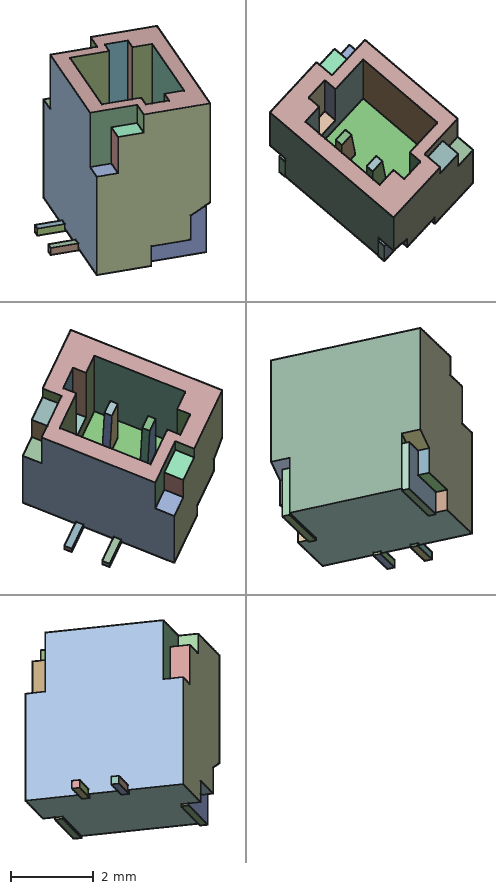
import cadquery as cq

SIDES = (-1, 1)

housing_width = 4.0
housing_depth = 2.9
housing_bottom = 0.07
housing_top = 4.32
housing_height = housing_top - housing_bottom

cavity_width = 2.4
cavity_front = 0.4
cavity_back = 2.5
cavity_depth = 3.25
cavity_floor = housing_top - cavity_depth
keyway_span = 3.095
keyway_front = 1.41
keyway_length = 0.59
keyway_depth = 2.59

notch_width = 0.5
upper_step_length = 1.2
upper_step_depth = 0.505
lower_step_length = 0.545
lower_step_depth = 1.51

tab_thickness = 0.2
tab_inset = 0.3
tab_bottom = 0.017
tab_top = 1.287
tab_upright_length = 0.5
tab_base_length = 1.505
tab_base_top = 0.618
recess_depth = tab_inset + tab_thickness
recess_slope_rise = 0.275

contact_pitch = 1.0
contact_width = 0.2
post_top = 3.065
post_back = 2.08
post_base_length = 0.492
post_tip_length = 0.35
foot_height = 0.2
foot_reach = 0.7
foot_embed = 0.11


def box(x_center, width, front, length, bottom, height):
    """Box centred on x_center that starts at the given front and bottom."""
    block = cq.Workplane("XY").box(width, length, height, centered=(True, False, False))
    return block.translate((x_center, front, bottom))


def side_plate(points, x_center, thickness):
    """Plate with a (Y, Z) outline, centred on x_center."""
    plate = cq.Workplane("YZ").polyline(points).close().extrude(thickness / 2, both=True)
    return plate.translate((x_center, 0, 0))


def tab_outline(bottom):
    """L-shaped outline from the tab's inner top corner round to its base front end."""
    upright_front = housing_depth - tab_upright_length
    base_front = housing_depth - tab_base_length
    return [
        (upright_front, tab_top),
        (upright_front, tab_base_top),
        (base_front, tab_base_top),
        (base_front, bottom),
        (housing_depth, bottom),
    ]


def make_tab(side):
    x_center = side * (housing_width / 2 - tab_inset - tab_thickness / 2)
    return side_plate(tab_outline(tab_bottom) + [(housing_depth, tab_top)], x_center, tab_thickness)


def make_tab_recess(side):
    """Side recess that holds a tab and slopes upward above it to the back face."""
    x_center = side * (housing_width - recess_depth) / 2
    slope_end = (housing_depth, tab_top + recess_slope_rise)
    return side_plate(tab_outline(housing_bottom) + [slope_end], x_center, recess_depth)


def make_post(x_center):
    """Upright contact on the cavity floor whose front face leans back towards the tip."""
    outline = [
        (post_back - post_base_length, cavity_floor),
        (post_back, cavity_floor),
        (post_back, post_top),
        (post_back - post_tip_length, post_top),
    ]
    return side_plate(outline, x_center, contact_width)


def make_foot(x_center):
    return box(x_center, contact_width, -foot_reach, foot_reach + foot_embed, 0, foot_height)


def make_corner_notch(side):
    x_center = side * (housing_width - notch_width) / 2
    upper = box(
        x_center, notch_width, 0, upper_step_length, housing_top - upper_step_depth, upper_step_depth
    )
    lower = box(
        x_center, notch_width, 0, lower_step_length, housing_top - lower_step_depth, lower_step_depth
    )
    return upper.union(lower)


def make_cavity():
    room = box(0, cavity_width, cavity_front, cavity_back - cavity_front, cavity_floor, cavity_depth)
    keyways = box(0, keyway_span, keyway_front, keyway_length, housing_top - keyway_depth, keyway_depth)
    return room.union(keyways)


def make_housing(feet):
    body = box(0, housing_width, 0, housing_depth, housing_bottom, housing_height)
    body = body.cut(make_cavity())
    for side in SIDES:
        body = body.cut(make_corner_notch(side))
        body = body.cut(make_tab_recess(side))
    for foot in feet:
        body = body.cut(foot)
    return body


contact_centers = [side * contact_pitch / 2 for side in SIDES]
posts = [make_post(x_center) for x_center in contact_centers]
feet = [make_foot(x_center) for x_center in contact_centers]
tabs = [make_tab(side) for side in SIDES]
housing = make_housing(feet)

result = cq.Compound.makeCompound([housing.val(), *[body.val() for body in posts + feet + tabs]])